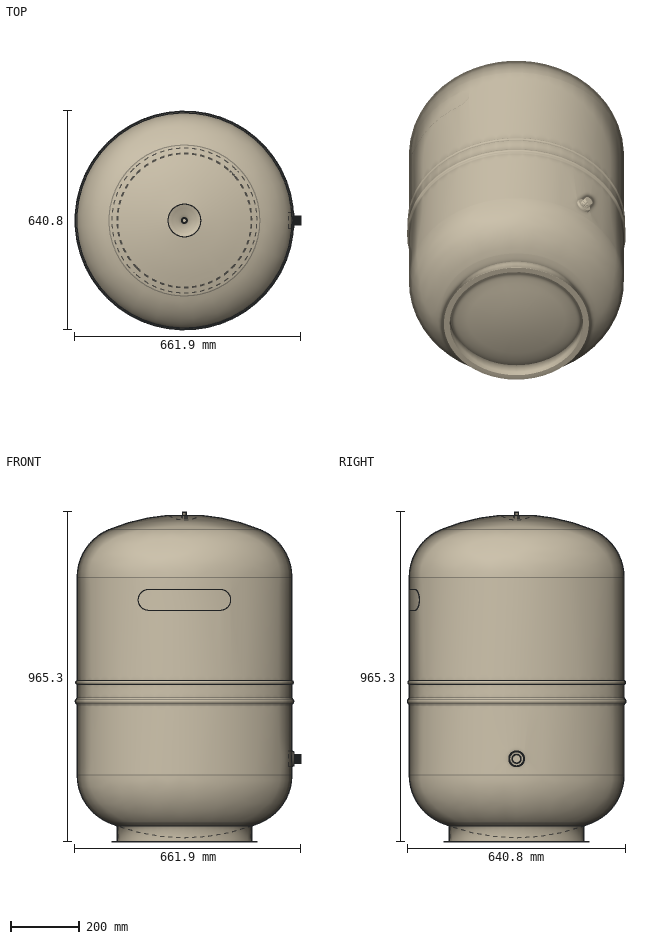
import cadquery as cq
import math

shell_radius = 630.0 / 2
crown_radius = 579.0
knuckle_radius = 152.0
lower_tangent_z = 196.0
upper_tangent_z = 774.0

knuckle_centre_r = shell_radius - knuckle_radius
joint_angle = math.asin(knuckle_centre_r / (crown_radius - knuckle_radius))
joint_r = crown_radius * math.sin(joint_angle)
joint_rise = knuckle_radius * math.cos(joint_angle)
crown_rise = crown_radius * (1 - math.cos(joint_angle))
knuckle_mid_angle = (math.pi / 2 - joint_angle) / 2
knuckle_mid_r = knuckle_centre_r + knuckle_radius * math.cos(knuckle_mid_angle)
knuckle_mid_rise = knuckle_radius * math.sin(knuckle_mid_angle)
crown_mid_r = crown_radius * math.sin(joint_angle / 2)
crown_mid_sag = crown_radius * (1 - math.cos(joint_angle / 2))
bottom_apex_z = lower_tangent_z - joint_rise - crown_rise
top_apex_z = upper_tangent_z + joint_rise + crown_rise

bead_outer_radius = 640.83 / 2
bead_z = 411.5
bead_half_height = 11.5
rib_outer_radius = 319.0
rib_z = 466.5
rib_half_height = 5.5

dimple_radius = 48.0
dimple_depth = 14.0
valve_collar_radius = 17.0 / 2
valve_stem_radius = 12.0 / 2
valve_collar_height = 4.0
valve_neck_height = 3.0
valve_top_z = 965.27
dimple_rim_z = top_apex_z - crown_radius + math.sqrt(crown_radius**2 - dimple_radius**2)
valve_seat_z = dimple_rim_z - dimple_depth

foot_outer_radius = 395.01 / 2
foot_inner_radius = 391.01 / 2
foot_flange_radius = 425.01 / 2
foot_flange_thickness = 0.5
foot_weld_overlap = 2.0

plate_outer_radius = 630.99 / 2
plate_root_depth = 2.0
plate_length = 271.0
plate_height = 61.0
plate_z = 708.5

connection_z = 243.0
connection_end_x = 661.85 - bead_outer_radius
connection_root_depth = 10.0
connection_seat_x = shell_radius - connection_root_depth
collar_base_radius = 23.0
collar_face_radius = 20.5
collar_face_x = 321.0
thread_radius = 26.44 / 2
thread_pitch = 1.814
thread_depth = 1.16
thread_count = int((connection_end_x - collar_face_x) / thread_pitch)


def crown_z(radius):
    """Height of the bottom crown at a distance from the axis."""
    return bottom_apex_z + crown_radius - math.sqrt(crown_radius**2 - radius**2)


def make_shell():
    """Revolved vessel: domed ends, bulged rib and bead, dimple with a flat valve seat."""
    bead_height = bead_outer_radius - shell_radius
    bead_turn = 2 * math.atan(bead_height / bead_half_height)
    bead_arc_radius = bead_half_height / (2 * math.sin(bead_turn))
    quarter_r = shell_radius + bead_arc_radius * (1 - math.cos(bead_turn / 2))
    quarter_dz = bead_arc_radius * math.sin(bead_turn / 2)
    inflexion_r = shell_radius + bead_height / 2
    inflexion_dz = bead_half_height / 2

    dimple_sphere_rise = (dimple_radius**2 - valve_collar_radius**2 - dimple_depth**2) / (2 * dimple_depth)
    dimple_sphere_radius = math.hypot(dimple_radius, dimple_sphere_rise)
    dimple_centre_z = dimple_rim_z + dimple_sphere_rise
    dimple_mid_r = (dimple_radius + valve_collar_radius) / 2
    dimple_mid_z = dimple_centre_z - math.sqrt(dimple_sphere_radius**2 - dimple_mid_r**2)

    profile = (
        cq.Workplane("XZ")
        .moveTo(0, bottom_apex_z)
        .threePointArc((crown_mid_r, bottom_apex_z + crown_mid_sag), (joint_r, bottom_apex_z + crown_rise))
        .threePointArc((knuckle_mid_r, lower_tangent_z - knuckle_mid_rise), (shell_radius, lower_tangent_z))
        .lineTo(shell_radius, bead_z - bead_half_height)
        .threePointArc(
            (quarter_r, bead_z - bead_half_height + quarter_dz),
            (inflexion_r, bead_z - inflexion_dz),
        )
        .threePointArc((bead_outer_radius, bead_z), (inflexion_r, bead_z + inflexion_dz))
        .threePointArc(
            (quarter_r, bead_z + bead_half_height - quarter_dz),
            (shell_radius, bead_z + bead_half_height),
        )
        .lineTo(shell_radius, rib_z - rib_half_height)
        .threePointArc((rib_outer_radius, rib_z), (shell_radius, rib_z + rib_half_height))
        .lineTo(shell_radius, upper_tangent_z)
        .threePointArc(
            (knuckle_mid_r, upper_tangent_z + knuckle_mid_rise),
            (joint_r, top_apex_z - crown_rise),
        )
        .threePointArc((crown_mid_r, top_apex_z - crown_mid_sag), (dimple_radius, dimple_rim_z))
        .threePointArc((dimple_mid_r, dimple_mid_z), (valve_collar_radius, valve_seat_z))
        .lineTo(0, valve_seat_z)
        .close()
    )
    return profile.revolve(360, (0, 0, 0), (0, 1, 0))


def make_foot():
    """Thin ring under the vessel with an outward flange; its top reaches just into the bottom crown."""
    return (
        cq.Workplane("XZ")
        .moveTo(foot_inner_radius, 0)
        .lineTo(foot_flange_radius, 0)
        .lineTo(foot_flange_radius, foot_flange_thickness)
        .lineTo(foot_outer_radius, foot_flange_thickness)
        .lineTo(foot_outer_radius, crown_z(foot_outer_radius) + foot_weld_overlap)
        .lineTo(foot_inner_radius, crown_z(foot_inner_radius) + foot_weld_overlap)
        .close()
        .revolve(360, (0, 0, 0), (0, 1, 0))
    )


def make_name_plate():
    """Round-ended plate lying on the cylinder, slightly proud of it."""
    outline = (
        cq.Workplane("XZ")
        .center(0, plate_z)
        .slot2D(plate_length, plate_height)
        .extrude(plate_outer_radius)
    )
    plate_cylinder = (
        cq.Workplane("XY")
        .workplane(offset=plate_z - plate_height)
        .circle(plate_outer_radius)
        .circle(shell_radius - plate_root_depth)
        .extrude(2 * plate_height)
    )
    return plate_cylinder.intersect(outline)


def make_connection():
    """Threaded side connection with a tapered collar, set in a round recess of the shell."""
    profile = (
        cq.Workplane("XZ")
        .moveTo(connection_seat_x, connection_z)
        .lineTo(connection_seat_x, connection_z + collar_base_radius)
        .lineTo(shell_radius, connection_z + collar_base_radius)
        .lineTo(collar_face_x, connection_z + collar_face_radius)
        .lineTo(collar_face_x, connection_z + thread_radius)
    )
    for turn in range(thread_count):
        groove_x = collar_face_x + turn * thread_pitch
        profile = profile.lineTo(groove_x + thread_pitch / 2, connection_z + thread_radius - thread_depth)
        profile = profile.lineTo(groove_x + thread_pitch, connection_z + thread_radius)
    profile = (
        profile.lineTo(connection_end_x, connection_z + thread_radius)
        .lineTo(connection_end_x, connection_z)
        .close()
    )
    return profile.revolve(360, (connection_seat_x, connection_z, 0), (connection_end_x, connection_z, 0))


def make_connection_recess():
    """Round blind recess in the shell that holds the root of the side connection."""
    return (
        cq.Workplane("YZ")
        .workplane(offset=connection_seat_x)
        .center(0, connection_z)
        .circle(collar_base_radius)
        .extrude(connection_end_x - connection_seat_x)
    )


def make_valve():
    """Air valve: a slender stem with two collars round its lower part."""
    lower_collar_top = valve_seat_z + valve_collar_height
    neck_top = lower_collar_top + valve_neck_height
    upper_collar_top = neck_top + valve_collar_height
    return (
        cq.Workplane("XZ")
        .moveTo(0, valve_seat_z)
        .lineTo(valve_collar_radius, valve_seat_z)
        .lineTo(valve_collar_radius, lower_collar_top)
        .lineTo(valve_stem_radius, lower_collar_top)
        .lineTo(valve_stem_radius, neck_top)
        .lineTo(valve_collar_radius, neck_top)
        .lineTo(valve_collar_radius, upper_collar_top)
        .lineTo(valve_stem_radius, upper_collar_top)
        .lineTo(valve_stem_radius, valve_top_z)
        .lineTo(0, valve_top_z)
        .close()
        .revolve(360, (0, 0, 0), (0, 1, 0))
    )


vessel = make_shell().union(make_foot()).union(make_name_plate()).cut(make_connection_recess())
connection = make_connection()
valve = make_valve()

result = cq.Compound.makeCompound([vessel.solids().val(), connection.val(), valve.val()])